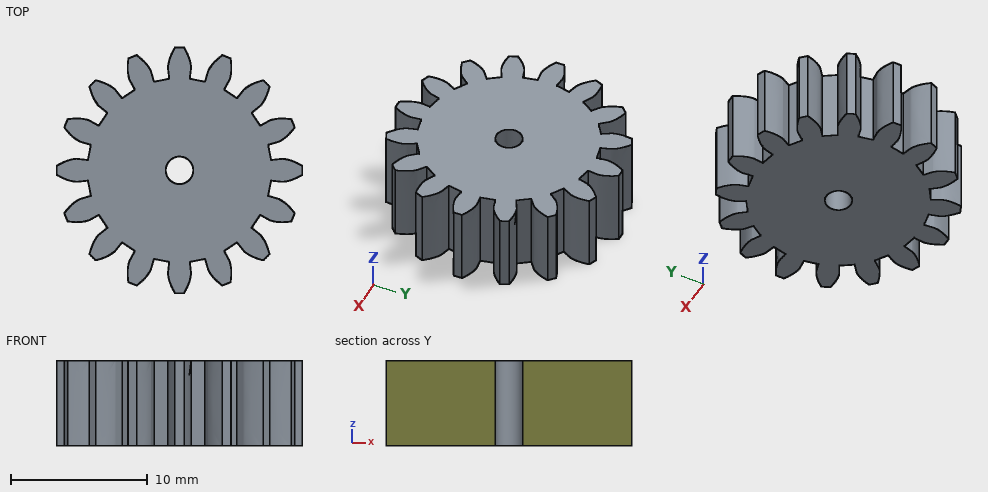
import cadquery as cq
import math

TEETH = 16
PRESSURE_ANGLE = math.radians(20)
WIDTH_ACROSS_TIPS = 17.99
TIP_WIDTH = 0.67
FACE_WIDTH = 6.25
BORE_DIAMETER = 2.0
DEDENDUM_FACTOR = 1.25
FLANK_INTERVALS = 6

tip_radius = math.hypot(WIDTH_ACROSS_TIPS / 2, TIP_WIDTH / 2)
module = 2 * tip_radius / (TEETH + 2)
pitch_radius = module * TEETH / 2
base_radius = pitch_radius * math.cos(PRESSURE_ANGLE)
root_radius = pitch_radius - DEDENDUM_FACTOR * module
tooth_pitch = 2 * math.pi / TEETH


def polar(radius, angle):
    """Point at a radius and an angle (radians) from +X."""
    return (radius * math.cos(angle), radius * math.sin(angle))


def involute_angle(roll):
    """Angle swept by the involute of the base circle after the given roll."""
    return roll - math.atan(roll)


tip_roll = math.sqrt((tip_radius / base_radius) ** 2 - 1)
base_half_angle = math.asin(TIP_WIDTH / 2 / tip_radius) + involute_angle(tip_roll)


def flank_points(tooth_angle, side):
    """Involute points from base circle to tip; side is -1 (clockwise flank) or +1."""
    points = []
    for step in range(FLANK_INTERVALS + 1):
        roll = tip_roll * step / FLANK_INTERVALS
        radius = base_radius * math.hypot(1, roll)
        offset = base_half_angle - involute_angle(roll)
        points.append(polar(radius, tooth_angle + side * offset))
    return points


def gear_outline():
    """Closed outline: radial lower flanks, involute upper flanks, flat tips and roots."""
    outline = cq.Workplane("XY").moveTo(*polar(root_radius, -base_half_angle))
    for tooth in range(TEETH):
        tooth_angle = tooth * tooth_pitch
        rising_flank = flank_points(tooth_angle, -1)
        falling_flank = flank_points(tooth_angle, 1)[::-1]
        outline = outline.lineTo(*rising_flank[0])
        outline = outline.spline(rising_flank[1:], includeCurrent=True)
        outline = outline.lineTo(*falling_flank[0])
        outline = outline.spline(falling_flank[1:], includeCurrent=True)
        outline = outline.lineTo(*polar(root_radius, tooth_angle + base_half_angle))
        if tooth < TEETH - 1:
            next_tooth_start = tooth_angle + tooth_pitch - base_half_angle
            outline = outline.lineTo(*polar(root_radius, next_tooth_start))
    return outline.close()


gear_blank = gear_outline().extrude(FACE_WIDTH)
result = gear_blank.faces(">Z").workplane(origin=(0, 0, 0)).hole(BORE_DIAMETER)